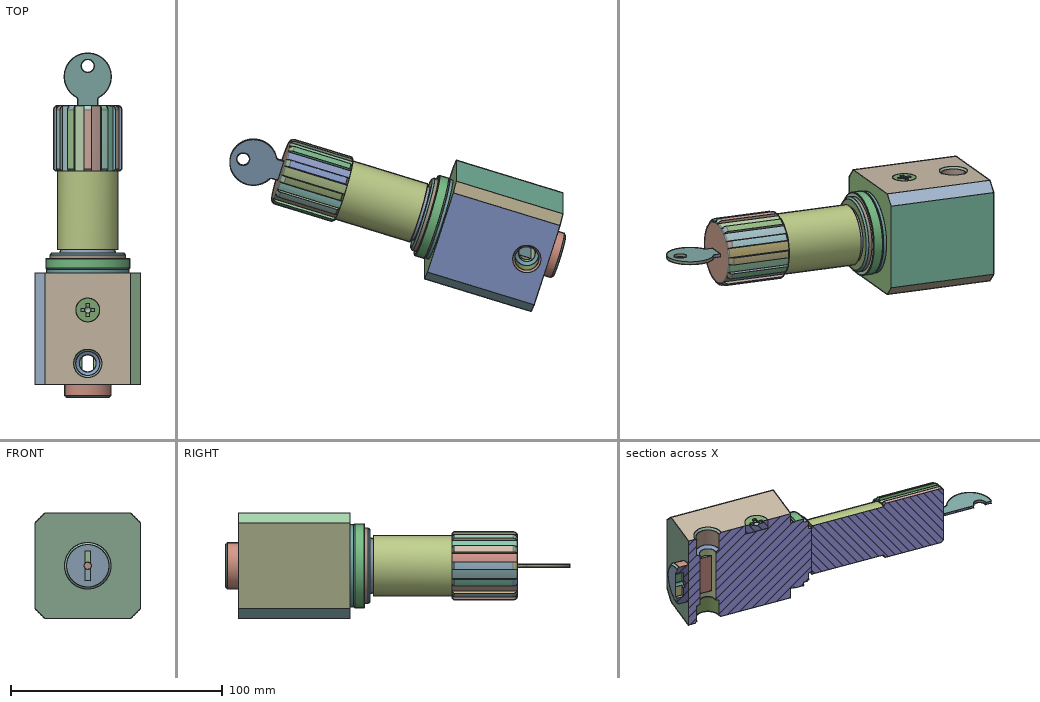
import cadquery as cq
import math


BLOCK_SIDE = 50.0
BLOCK_LENGTH = 53.0
BLOCK_CHAMFER = 4.7

COLLAR_BASE_DIAMETER = 39.1
COLLAR_BASE_LENGTH = 1.5
COLLAR_RING_DIAMETER = 39.8
COLLAR_RING_LENGTH = 5.4
COLLAR_RING_FRONT_CHAMFER = 0.8
COLLAR_RING_REAR_CHAMFER = 0.3
COLLAR_STEP_DIAMETER = 35.9
COLLAR_STEP_LENGTH = 2.6
COLLAR_STEP_CHAMFER = 1.0
NECK_FRONT_DIAMETER = 26.5
NECK_REAR_DIAMETER = 25.6
NECK_LENGTH = 1.5

PORT_Y = 10.1
PORT_DIAMETER = 11.4
PORT_DEPTH = 9.8
PORT_CHAMFER = 1.0
PORT_DRILL_ANGLE = 118
PORT_THROAT_DIAMETER = 8.0
PORT_THROAT_DEPTH = 14.7
PORT_SLOT_WIDTH = 5.4

SCREW_Y = 35.4
SCREW_DIAMETER = 11.2
SCREW_LENGTH = 4.9
CROSS_SPAN = 6.4
CROSS_ARM_WIDTH = 1.6
CROSS_DEPTH = 1.0
CROSS_CENTRE_DIAMETER = 3.0
CROSS_POINT_DEPTH = 1.8

PLUG_DIAMETER = 22.0
PLUG_LENGTH = 6.0
PLUG_CHAMFER = 1.0
PLUG_SLOT_WIDTH = 2.5
PLUG_SLOT_LENGTH = 14.0
PLUG_SLOT_DEPTH = 3.3
PLUG_HOLE_DIAMETER = 3.5
PLUG_HOLE_DEPTH = 4.0

TUBE_DIAMETER = 28.8
TUBE_LENGTH = 37.2
GRIP_ROOT_DIAMETER = 29.8
GRIP_RIB_DIAMETER = 32.3
GRIP_LENGTH = 31.1
GRIP_ROOT_FILLET = 0.5
RIB_COUNT = 12
RIB_WIDTH = 3.5
RIB_REAR_FILLET = 2.1
RIB_FRONT_CHAMFER = 1.0

KEY_THICKNESS = 1.5
KEY_BOW_DIAMETER = 22.3
KEY_NECK_WIDTH = 9.6
KEY_NECK_FILLET = 1.3
KEY_HOLE_DIAMETER = 6.0
KEY_HOLE_EDGE_GAP = 3.1
OVERALL_LENGTH = 163.0

BLOCK_REAR_Y = BLOCK_LENGTH
RING_FRONT_Y = BLOCK_REAR_Y + COLLAR_BASE_LENGTH
RING_REAR_Y = RING_FRONT_Y + COLLAR_RING_LENGTH
STEP_REAR_Y = RING_REAR_Y + COLLAR_STEP_LENGTH
KNOB_FRONT_Y = STEP_REAR_Y + NECK_LENGTH
GRIP_FRONT_Y = KNOB_FRONT_Y + TUBE_LENGTH
GRIP_REAR_Y = GRIP_FRONT_Y + GRIP_LENGTH
KEY_REAR_Y = OVERALL_LENGTH - PLUG_LENGTH
BLOCK_TOP_Z = BLOCK_SIDE / 2


def cylinder_along_y(diameter, front_y, length):
    """Solid cylinder on the long axis, running rearward from front_y."""
    return cq.Workplane("XZ", origin=(0, front_y, 0)).circle(diameter / 2).extrude(-length)


def cylinder_along_z(diameter, y, bottom_z, height):
    """Solid vertical cylinder at X = 0."""
    return cq.Workplane("XY", origin=(0, y, bottom_z)).circle(diameter / 2).extrude(height)


def cone_along_z(bottom_diameter, top_diameter, y, bottom_z, height):
    """Solid vertical cone or truncated cone at X = 0."""
    return cq.Workplane(
        cq.Solid.makeCone(bottom_diameter / 2, top_diameter / 2, height, cq.Vector(0, y, bottom_z))
    )


def make_block():
    return (
        cq.Workplane("XZ")
        .rect(BLOCK_SIDE, BLOCK_SIDE)
        .extrude(-BLOCK_LENGTH)
        .edges("|Y")
        .chamfer(BLOCK_CHAMFER)
    )


def make_collar():
    """Stepped collar: base, wide ring, chamfered step and tapered neck."""
    base = cylinder_along_y(COLLAR_BASE_DIAMETER, BLOCK_REAR_Y, COLLAR_BASE_LENGTH)
    ring = (
        cylinder_along_y(COLLAR_RING_DIAMETER, RING_FRONT_Y, COLLAR_RING_LENGTH)
        .faces("<Y").chamfer(COLLAR_RING_FRONT_CHAMFER)
        .faces(">Y").chamfer(COLLAR_RING_REAR_CHAMFER)
    )
    step = (
        cylinder_along_y(COLLAR_STEP_DIAMETER, RING_REAR_Y, COLLAR_STEP_LENGTH)
        .faces(">Y").chamfer(COLLAR_STEP_CHAMFER)
    )
    neck = cq.Workplane(
        cq.Solid.makeCone(
            NECK_FRONT_DIAMETER / 2,
            NECK_REAR_DIAMETER / 2,
            NECK_LENGTH,
            cq.Vector(0, STEP_REAR_Y, 0),
            cq.Vector(0, 1, 0),
        )
    )
    return base.union(ring).union(step).union(neck)


def make_port_half():
    """Upper half of the port: chamfered bore, drill-point shoulder, throat and narrow slot."""
    bore_floor_z = BLOCK_TOP_Z - PORT_DEPTH
    throat_floor_z = BLOCK_TOP_Z - PORT_THROAT_DEPTH
    shoulder_width = (PORT_DIAMETER - PORT_THROAT_DIAMETER) / 2
    shoulder_height = shoulder_width / math.tan(math.radians(PORT_DRILL_ANGLE / 2))
    mouth = cone_along_z(
        PORT_DIAMETER,
        PORT_DIAMETER + 2 * PORT_CHAMFER,
        PORT_Y,
        BLOCK_TOP_Z - PORT_CHAMFER,
        PORT_CHAMFER,
    )
    bore = cylinder_along_z(PORT_DIAMETER, PORT_Y, bore_floor_z, PORT_DEPTH)
    shoulder = cone_along_z(
        PORT_THROAT_DIAMETER,
        PORT_DIAMETER,
        PORT_Y,
        bore_floor_z - shoulder_height,
        shoulder_height,
    )
    throat = cylinder_along_z(PORT_THROAT_DIAMETER, PORT_Y, throat_floor_z, PORT_THROAT_DEPTH)
    slot = (
        cylinder_along_z(PORT_THROAT_DIAMETER, PORT_Y, 0, BLOCK_TOP_Z)
        .intersect(cq.Workplane("XY").box(PORT_SLOT_WIDTH, BLOCK_LENGTH, BLOCK_SIDE))
    )
    return bore.union(mouth).union(shoulder).union(throat).union(slot)


def make_screw_blank():
    """Plain round body of the screw, also the shape of its seat in the block."""
    return cylinder_along_z(SCREW_DIAMETER, SCREW_Y, BLOCK_TOP_Z - SCREW_LENGTH, SCREW_LENGTH)


def make_housing():
    upper_port = make_port_half()
    lower_port = upper_port.mirror("XY")
    return (
        make_block()
        .union(make_collar())
        .cut(upper_port)
        .cut(lower_port)
        .cut(make_screw_blank())
    )


def make_screw():
    floor_z = BLOCK_TOP_Z - CROSS_DEPTH
    floor = cq.Workplane("XY", origin=(0, SCREW_Y, floor_z))
    arm_along_x = floor.rect(CROSS_SPAN, CROSS_ARM_WIDTH).extrude(CROSS_DEPTH)
    arm_along_y = floor.rect(CROSS_ARM_WIDTH, CROSS_SPAN).extrude(CROSS_DEPTH)
    centre = cylinder_along_z(CROSS_CENTRE_DIAMETER, SCREW_Y, floor_z, CROSS_DEPTH)
    point = cone_along_z(
        0,
        CROSS_CENTRE_DIAMETER,
        SCREW_Y,
        BLOCK_TOP_Z - CROSS_POINT_DEPTH,
        CROSS_POINT_DEPTH - CROSS_DEPTH,
    )
    return make_screw_blank().cut(arm_along_x).cut(arm_along_y).cut(centre.union(point))


def make_plug():
    head = (
        cylinder_along_y(PLUG_DIAMETER, -PLUG_LENGTH, PLUG_LENGTH)
        .faces("<Y").chamfer(PLUG_CHAMFER)
    )
    slot = (
        cq.Workplane("XZ", origin=(0, -PLUG_LENGTH, 0))
        .rect(PLUG_SLOT_WIDTH, PLUG_SLOT_LENGTH)
        .extrude(-PLUG_SLOT_DEPTH)
    )
    hole = cylinder_along_y(PLUG_HOLE_DIAMETER, -PLUG_LENGTH, PLUG_HOLE_DEPTH)
    return head.cut(slot).cut(hole)


def make_grip_ribs():
    """Raised ribs around the grip, rounded at the rear end and chamfered at the front."""
    rib_envelope = (
        cylinder_along_y(GRIP_RIB_DIAMETER, GRIP_FRONT_Y, GRIP_LENGTH)
        .faces(">Y").edges().fillet(RIB_REAR_FILLET)
        .faces("<Y").chamfer(RIB_FRONT_CHAMFER)
    )
    opposite_pair = (
        cq.Workplane("XZ", origin=(0, GRIP_FRONT_Y, 0))
        .rect(RIB_WIDTH, GRIP_RIB_DIAMETER)
        .extrude(-GRIP_LENGTH)
    )
    ribs = opposite_pair
    for index in range(1, RIB_COUNT // 2):
        angle = index * 360 / RIB_COUNT
        ribs = ribs.union(opposite_pair.rotate((0, 0, 0), (0, 1, 0), angle))
    return ribs.intersect(rib_envelope)


def make_knob():
    tube = cylinder_along_y(TUBE_DIAMETER, KNOB_FRONT_Y, TUBE_LENGTH)
    grip_root = (
        cylinder_along_y(GRIP_ROOT_DIAMETER, GRIP_FRONT_Y, GRIP_LENGTH)
        .faces(">Y").edges().fillet(GRIP_ROOT_FILLET)
    )
    return tube.union(grip_root).union(make_grip_ribs())


def make_key():
    bow_centre_y = KEY_REAR_Y - KEY_BOW_DIAMETER / 2
    neck_length = bow_centre_y - GRIP_REAR_Y
    hole_centre_y = KEY_REAR_Y - KEY_HOLE_EDGE_GAP - KEY_HOLE_DIAMETER / 2
    bottom_z = -KEY_THICKNESS / 2
    bow = cylinder_along_z(KEY_BOW_DIAMETER, bow_centre_y, bottom_z, KEY_THICKNESS)
    neck = cq.Workplane("XY", origin=(0, GRIP_REAR_Y + neck_length / 2, 0)).box(
        KEY_NECK_WIDTH, neck_length, KEY_THICKNESS
    )
    neck_corners = cq.selectors.BoxSelector(
        (-KEY_NECK_WIDTH, GRIP_REAR_Y + KEY_NECK_FILLET, -KEY_THICKNESS),
        (KEY_NECK_WIDTH, bow_centre_y - KEY_NECK_FILLET, KEY_THICKNESS),
    )
    hole = cylinder_along_z(KEY_HOLE_DIAMETER, hole_centre_y, bottom_z, KEY_THICKNESS)
    return bow.union(neck).edges("|Z").edges(neck_corners).fillet(KEY_NECK_FILLET).cut(hole)


housing = make_housing()
screw = make_screw()
plug = make_plug()
knob = make_knob()
key = make_key()

result = cq.Compound.makeCompound([housing.val(), screw.val(), plug.val(), knob.val(), key.val()])